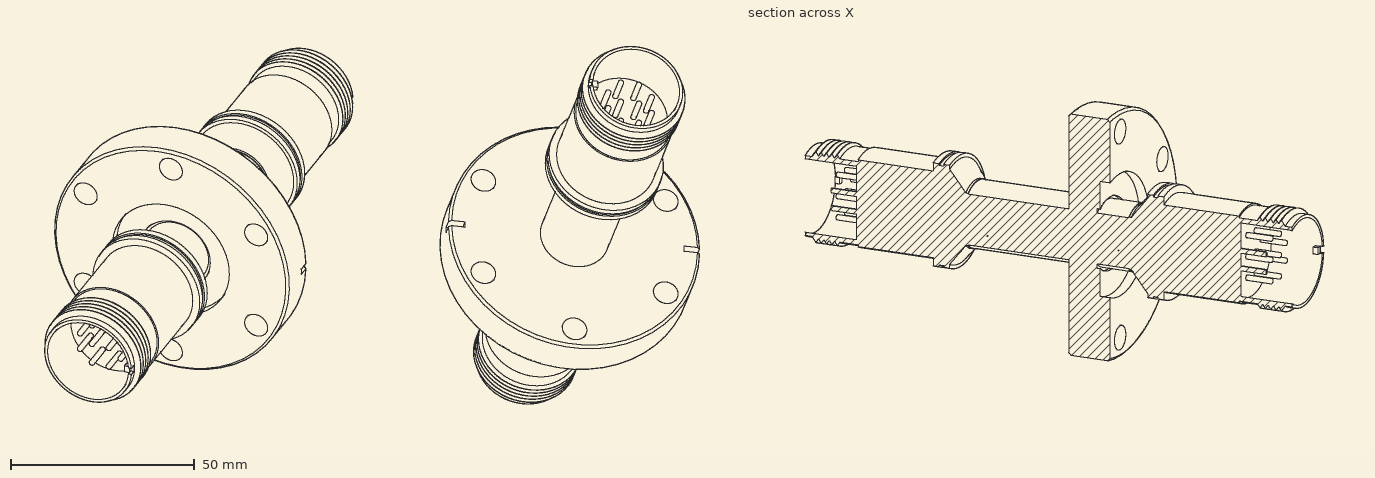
import cadquery as cq
import math


total_length = 148.7
half_length = total_length / 2

tip_radius = 13.0
thread_root_radius = 13.4
thread_crest_radius = 14.3
body_radius = 13.8
collar_radius = 15.9
collar_groove_radius = 15.5
cone_radius = 14.9
cone_tip_radius = 9.7
tube_radius = 9.5

thread_start = 2.1
first_crest = 3.3
thread_pitch = 1.6
crest_count = 5
crest_flat = 0.1
body_start = 16.2
collar_start = 39.1
collar_end = 44.2
collar_groove_width = 1.3
cone_end = 49.1
cone_land_end = 49.8

bore_radius = 12.0
bore_depth = 15.6
key_inner_radius = 10.5
key_width = 2.0
key_length = 1.5
key_setback = 0.6
slot_depth = 1.6

pin_radius = 0.7
pin_tip_fillet = 0.3
pin_length = 7.7
pin_circle_radius = 6.5
ring_pin_count = 8
centre_pin_offset = 2.5

flange_radius = 35.0
flange_front = -18.7
flange_thickness = 12.6
flange_back = flange_front + flange_thickness
flange_chamfer = 0.7
recess_radius = 17.4
recess_depth = 3.0
trench_radius = 10.4
trench_depth = 0.9
bolt_hole_diameter = 6.8
bolt_circle_radius = 29.3
bolt_count = 6
leak_groove_width = 1.6
leak_groove_length = 3.9
leak_groove_depth = 4.5


def y_cylinder(radius, start, length, x=0.0, z=0.0):
    """Cylinder along +Y from the station `start`."""
    solid = cq.Solid.makeCylinder(radius, length, cq.Vector(x, start, z), cq.Vector(0, 1, 0))
    return cq.Workplane("XY").add(solid)


def connector_shell():
    """Solid of revolution from the -Y end to the middle of the part."""
    profile = [(0, 0), (tip_radius, 0), (tip_radius, thread_start)]
    for index in range(crest_count):
        crest = first_crest + index * thread_pitch
        profile.append((thread_crest_radius, crest - crest_flat / 2))
        profile.append((thread_crest_radius, crest + crest_flat / 2))
        profile.append((thread_root_radius, crest + thread_pitch / 2))

    groove_start = (collar_start + collar_end - collar_groove_width) / 2
    groove_end = groove_start + collar_groove_width
    profile += [
        (thread_root_radius, body_start),
        (body_radius, body_start),
        (body_radius, collar_start),
        (collar_radius, collar_start),
        (collar_radius, groove_start),
        (collar_groove_radius, groove_start),
        (collar_groove_radius, groove_end),
        (collar_radius, groove_end),
        (collar_radius, collar_end),
        (cone_radius, collar_end),
        (cone_tip_radius, cone_end),
        (cone_tip_radius, cone_land_end),
        (tube_radius, cone_land_end),
        (tube_radius, half_length),
        (0, half_length),
    ]
    shell = cq.Workplane("XY").polyline(profile).close().revolve(360, (0, 0), (0, 1))
    return shell.translate((0, -half_length, 0))


def pins():
    """Ring of contact pins plus a centre pair, standing on the socket floor."""
    places = [(-centre_pin_offset, 0), (centre_pin_offset, 0)]
    for index in range(ring_pin_count):
        angle = 2 * math.pi * (index + 0.5) / ring_pin_count
        places.append((pin_circle_radius * math.cos(angle), pin_circle_radius * math.sin(angle)))

    floor = bore_depth - half_length
    blanks = [y_cylinder(pin_radius, floor - pin_length, pin_length, x, z) for x, z in places]
    return [blank.faces("<Y").edges().fillet(pin_tip_fillet) for blank in blanks]


def side_bar(start, length, inner, outer):
    """Bar of key width on the +X side, between two distances from the part axis."""
    bar = cq.Workplane("XY").box(outer - inner, length, key_width, centered=(False, False, True))
    return bar.translate((inner, start, 0))


def connector():
    """Connector at the -Y end, with its socket, key and pins."""
    shell = connector_shell().cut(y_cylinder(bore_radius, -half_length, bore_depth))
    shell = shell.cut(side_bar(-half_length, slot_depth, key_inner_radius, thread_crest_radius))
    key_start = key_setback - half_length
    shell = shell.union(side_bar(key_start, key_length, key_inner_radius, bore_radius))
    for pin in pins():
        shell = shell.union(pin)
    return shell


def flange():
    """Chamfered disc with a weld recess, bolt holes and two leak-check grooves."""
    disc = y_cylinder(flange_radius, flange_front, flange_thickness).edges().chamfer(flange_chamfer)
    disc = disc.cut(y_cylinder(recess_radius, flange_front, recess_depth))
    disc = disc.cut(y_cylinder(trench_radius, flange_front + recess_depth, trench_depth))
    for index in range(bolt_count):
        angle = 2 * math.pi * (index + 0.5) / bolt_count
        x = bolt_circle_radius * math.cos(angle)
        z = bolt_circle_radius * math.sin(angle)
        disc = disc.cut(y_cylinder(bolt_hole_diameter / 2, flange_front, flange_thickness, x, z))
    for side in (-1, 1):
        x = side * (flange_radius - leak_groove_depth / 2)
        groove = cq.Workplane("XY").box(leak_groove_depth, leak_groove_length, leak_groove_width)
        disc = disc.cut(groove.translate((x, flange_back - leak_groove_length / 2, 0)))
    return disc


front_connector = connector()
back_connector = front_connector.mirror("XZ")
result = front_connector.union(back_connector).union(flange())